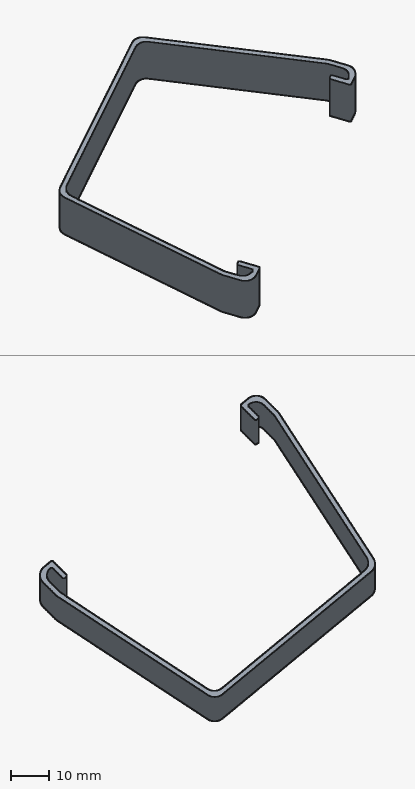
import cadquery as cq
import math

length = 58.3
span = 78.2
width = 15.0

thickness = 1.4
arm_angle = 11.8
bend_radius = 3.05

flat_length = 8.4
hook_depth = 6.0
lip_length = 6.0
hook_radius = 3.1
inner_hook_radius = 2.7
lip_edge_radius = 0.4

half_span = span / 2
arm_slope = math.tan(math.radians(arm_angle))

arm_end_x = length - flat_length
corner_y = half_span - arm_end_x * arm_slope
lip_y = half_span - hook_depth
lip_tip_x = length - lip_length

inner_flat_y = half_span - thickness
inner_end_x = length - thickness
inner_arm_end_x = arm_end_x + thickness * math.tan(math.radians(arm_angle / 2))
inner_corner_y = inner_flat_y - (inner_arm_end_x - thickness) * arm_slope
inner_lip_y = lip_y + thickness

outer_bends = [(0, corner_y), (arm_end_x, half_span)]
hook_corner = (length, half_span)
inner_hook_corner = (inner_end_x, inner_flat_y)
inner_bends = [(inner_arm_end_x, inner_flat_y), (thickness, inner_corner_y)]
lip_corners = [
    (length, lip_y),
    (lip_tip_x, lip_y),
    (lip_tip_x, inner_lip_y),
    (inner_end_x, inner_lip_y),
]


def round_corner(strip, corner, radius):
    """Round the upright edge that stands on a sharp corner of the outline."""
    x, y = corner
    edge = cq.selectors.NearestToPointSelector((x, y, width / 2))
    return strip.edges("|Z").edges(edge).fillet(radius)


half_outline = [
    (0, 0),
    *outer_bends,
    hook_corner,
    *lip_corners,
    inner_hook_corner,
    *inner_bends,
    (thickness, 0),
]
half_strip = cq.Workplane("XY").polyline(half_outline).close().extrude(width)

for bend in outer_bends + inner_bends:
    half_strip = round_corner(half_strip, bend, bend_radius)
half_strip = round_corner(half_strip, hook_corner, hook_radius)
half_strip = round_corner(half_strip, inner_hook_corner, inner_hook_radius)
for corner in lip_corners:
    half_strip = round_corner(half_strip, corner, lip_edge_radius)

result = half_strip.union(half_strip.mirror("XZ")).clean()